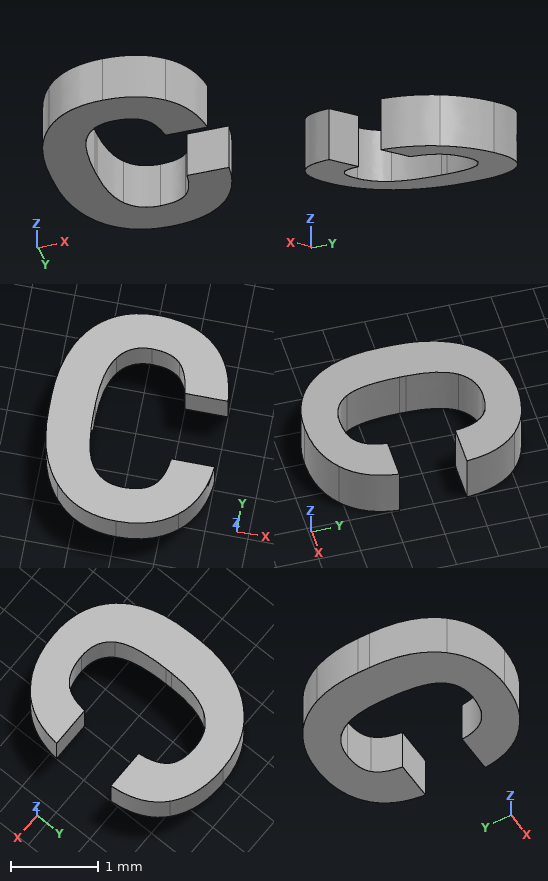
import cadquery as cq

height = 2.52
width = 2.0
thickness = 0.6
half_height = height / 2

stem_flat_top = 0.08
stem_flat_bottom = -0.073

inner_left = 0.515
inner_flat_top = 0.08
inner_flat_bottom = 0.0
inner_top = 0.85
inner_bottom = -0.845

upper_crest_x = 1.028
lower_crest_x = 1.013

upper_end_y = 0.395
lower_end_y = -0.403
upper_end_inner_x = 1.495
lower_end_inner_x = 1.49
lower_end_outer_x = 1.998


def midpoint(a, b):
    return ((a[0] + b[0]) / 2, (a[1] + b[1]) / 2)


def smooth_run(outline, controls, end):
    """Add quadratic curves that join smoothly halfway between neighbouring controls."""
    joints = [midpoint(a, b) for a, b in zip(controls, controls[1:])]
    for control, joint in zip(controls, joints + [end]):
        outline = outline.bezier([control, joint], includeCurrent=True)
    return outline


outline = cq.Workplane("XY").moveTo(width, upper_end_y)
outline = smooth_run(outline, [(1.965, 0.822), (1.455, half_height)], (upper_crest_x, half_height))
outline = smooth_run(
    outline,
    [(0.71, half_height), (0.247, 0.975), (0, 0.435)],
    (0, stem_flat_top),
)
outline = outline.lineTo(0, stem_flat_bottom)
outline = smooth_run(outline, [(0, -0.63), (0.535, -half_height)], (lower_crest_x, -half_height))
outline = smooth_run(
    outline,
    [(1.435, -half_height), (1.963, -0.822)],
    (lower_end_outer_x, lower_end_y),
)

outline = outline.lineTo(lower_end_inner_x, lower_end_y)
outline = smooth_run(outline, [(1.47, -0.63), (1.252, inner_bottom)], (lower_crest_x, inner_bottom))
outline = smooth_run(outline, [(0.76, inner_bottom), (inner_left, -0.47)], (inner_left, inner_flat_bottom))
outline = outline.lineTo(inner_left, inner_flat_top)
outline = smooth_run(outline, [(inner_left, 0.476), (0.775, inner_top)], (upper_crest_x, inner_top))
outline = smooth_run(outline, [(1.263, inner_top), (1.47, 0.635)], (upper_end_inner_x, upper_end_y))

result = outline.close().extrude(thickness)